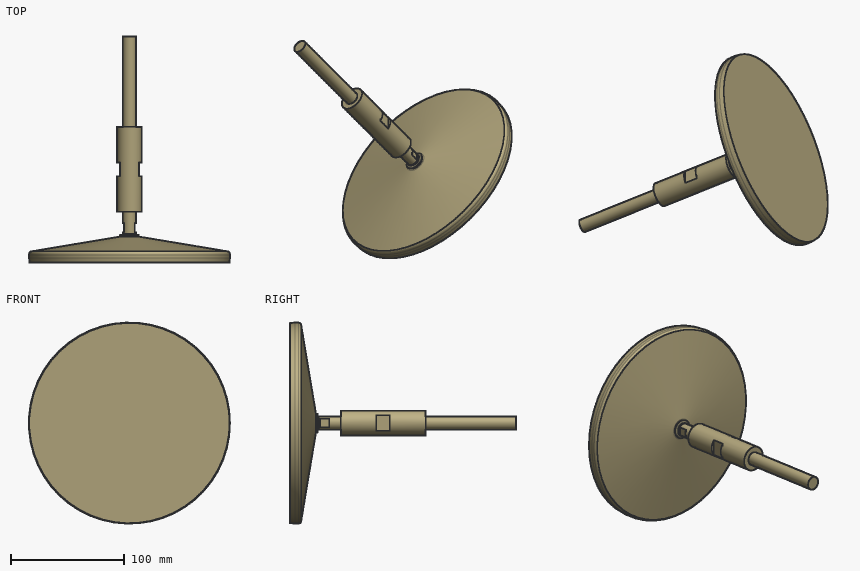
import cadquery as cq
import math

TOTAL_LENGTH = 200.0

FOOT_DIAMETER = 178.0
SOLE_DIAMETER = 177.0
TAPER_HEIGHT = 4.5
RIM_HEIGHT = 7.2
SHOULDER_RADIUS = 3.2
SHOULDER_ANGLE = 60.0
CONE_TOP_DIAMETER = 18.5
CONE_TOP_Y = 23.0
COLLAR_BASE_DIAMETER = 15.2
COLLAR_DIAMETER = 16.8
COLLAR_TOP_Y = 24.5
LIP_DIAMETER = 14.0
LIP_Y = 24.8

SPINDLE_DIAMETER = 12.0
SPINDLE_SHOULDER_Y = 25.5
NECK_DIAMETER = 10.5
SPINDLE_FLATS_WIDTH = 9.5
SPINDLE_FLATS_START_Y = 27.0
SPINDLE_FLATS_LENGTH = 8.0

SLEEVE_DIAMETER = 22.0
SLEEVE_START_Y = 45.0
SLEEVE_LENGTH = 75.0
SLEEVE_FLATS_WIDTH = 17.0
SLEEVE_FLATS_LENGTH = 12.0


def cylinder(diameter, start_y, end_y):
    """Round bar along +Y."""
    bar = cq.Workplane("XZ", origin=(0, start_y, 0)).circle(diameter / 2)
    return bar.extrude(start_y - end_y)


def cut_flats(body, diameter, across_flats, start_y, length):
    """Cut two opposite flats that face -X and +X."""
    depth = (diameter - across_flats) / 2
    for side in (-1, 1):
        centre_x = side * (across_flats + depth) / 2
        cutter = cq.Workplane("XY").box(depth, length, diameter)
        body = body.cut(cutter.translate((centre_x, start_y + length / 2, 0)))
    return body


def make_foot():
    rim_radius = FOOT_DIAMETER / 2
    arc_centre_x = rim_radius - SHOULDER_RADIUS

    def shoulder_point(angle):
        turn = math.radians(angle)
        x = arc_centre_x + SHOULDER_RADIUS * math.cos(turn)
        y = RIM_HEIGHT + SHOULDER_RADIUS * math.sin(turn)
        return (x, y)

    profile = (
        cq.Workplane("XY")
        .lineTo(SOLE_DIAMETER / 2, 0)
        .lineTo(rim_radius, TAPER_HEIGHT)
        .lineTo(rim_radius, RIM_HEIGHT)
        .threePointArc(shoulder_point(SHOULDER_ANGLE / 2), shoulder_point(SHOULDER_ANGLE))
        .lineTo(CONE_TOP_DIAMETER / 2, CONE_TOP_Y)
        .lineTo(COLLAR_BASE_DIAMETER / 2, CONE_TOP_Y)
        .lineTo(COLLAR_DIAMETER / 2, COLLAR_TOP_Y)
        .lineTo(LIP_DIAMETER / 2, LIP_Y)
        .lineTo(NECK_DIAMETER / 2, LIP_Y)
        .lineTo(NECK_DIAMETER / 2, CONE_TOP_Y)
        .lineTo(0, CONE_TOP_Y)
        .close()
    )
    return profile.revolve(360, (0, 0, 0), (0, 1, 0))


def make_spindle():
    neck = cylinder(NECK_DIAMETER, CONE_TOP_Y, SPINDLE_SHOULDER_Y)
    rod = cylinder(SPINDLE_DIAMETER, SPINDLE_SHOULDER_Y, TOTAL_LENGTH)
    return cut_flats(
        rod.union(neck), SPINDLE_DIAMETER, SPINDLE_FLATS_WIDTH, SPINDLE_FLATS_START_Y, SPINDLE_FLATS_LENGTH
    )


def make_sleeve():
    end_y = SLEEVE_START_Y + SLEEVE_LENGTH
    bore = cylinder(SPINDLE_DIAMETER, SLEEVE_START_Y, end_y)
    tube = cylinder(SLEEVE_DIAMETER, SLEEVE_START_Y, end_y).cut(bore)
    flats_start_y = SLEEVE_START_Y + (SLEEVE_LENGTH - SLEEVE_FLATS_LENGTH) / 2
    return cut_flats(tube, SLEEVE_DIAMETER, SLEEVE_FLATS_WIDTH, flats_start_y, SLEEVE_FLATS_LENGTH)


foot = make_foot()
spindle = make_spindle()
sleeve = make_sleeve()

result = cq.Compound.makeCompound([foot.val(), spindle.val(), sleeve.val()])